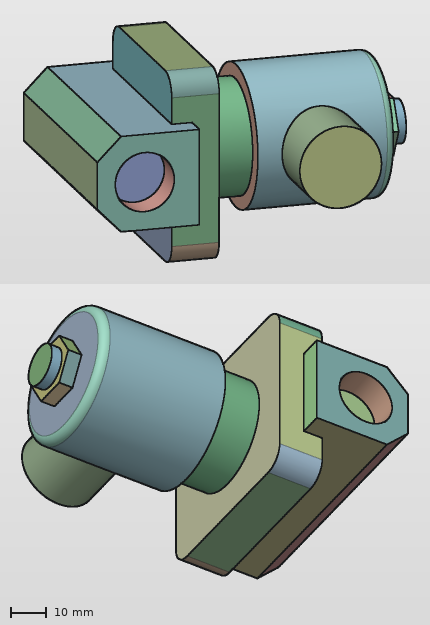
import cadquery as cq
import math


BLOCK_LENGTH = 70.0
BLOCK_DEPTH = 30.0
BLOCK_HEIGHT = 28.0
BLOCK_CHAMFER = 7.0
PORT_DIAMETER = 17.3
PORT_DEPTH = 9.5
PORT_Y = 14.0

FLANGE_SIZE = 56.0
FLANGE_START = 24.0
FLANGE_THICKNESS = 14.0
FLANGE_CORNER_RADIUS = 6.2
NECK_DIAMETER = 34.0
NECK_LENGTH = 13.3

COIL_GAP = 0.3
COIL_DIAMETER = 42.0
COIL_LENGTH = 40.5
COIL_EDGE_RADIUS = 2.5
OUTLET_DIAMETER = 24.0
OUTLET_REACH = 37.8
OUTLET_Y = 70.7

HEX_ACROSS_FLATS = 16.9
HEX_THICKNESS = 4.4
STUD_DIAMETER = 12.8
OVERALL_DEPTH = 99.7

NECK_START = FLANGE_START + FLANGE_THICKNESS
COIL_START = NECK_START + NECK_LENGTH + COIL_GAP
COIL_END = COIL_START + COIL_LENGTH
HEX_END = COIL_END + HEX_THICKNESS


def section_at(y):
    """Workplane facing +Y at the given position."""
    return cq.Workplane("XZ", origin=(0, y, 0)).transformed(rotate=(180, 0, 0))


def make_valve():
    """Ported block with its flange and neck."""
    block = (
        cq.Workplane("XY")
        .box(BLOCK_LENGTH, BLOCK_DEPTH, BLOCK_HEIGHT, centered=(True, False, True))
        .faces("<Y").edges("|X").chamfer(BLOCK_CHAMFER)
    )
    flange = (
        section_at(FLANGE_START)
        .rect(FLANGE_SIZE, FLANGE_SIZE)
        .extrude(FLANGE_THICKNESS)
        .edges("|Y").fillet(FLANGE_CORNER_RADIUS)
    )
    neck = section_at(NECK_START).circle(NECK_DIAMETER / 2).extrude(NECK_LENGTH)
    valve = block.union(flange).union(neck)

    for side in (-1, 1):
        port = (
            cq.Workplane("YZ", origin=(side * BLOCK_LENGTH / 2, PORT_Y, 0))
            .circle(PORT_DIAMETER / 2)
            .extrude(-side * PORT_DEPTH)
        )
        valve = valve.cut(port)
    return valve


def make_coil():
    """Round coil housing with its side outlet, end hexagon and stud."""
    housing = (
        section_at(COIL_START)
        .circle(COIL_DIAMETER / 2)
        .extrude(COIL_LENGTH)
        .faces(">Y").edges().fillet(COIL_EDGE_RADIUS)
    )
    outlet = (
        cq.Workplane("YZ", origin=(0, OUTLET_Y, 0))
        .circle(OUTLET_DIAMETER / 2)
        .extrude(OUTLET_REACH)
    )
    hex_across_corners = HEX_ACROSS_FLATS / math.cos(math.pi / 6)
    hexagon = section_at(COIL_END).polygon(6, hex_across_corners).extrude(HEX_THICKNESS)
    stud = section_at(HEX_END).circle(STUD_DIAMETER / 2).extrude(OVERALL_DEPTH - HEX_END)
    return housing.union(outlet).union(hexagon).union(stud)


valve = make_valve()
coil = make_coil()
result = cq.Compound.makeCompound([valve.val(), coil.val()])